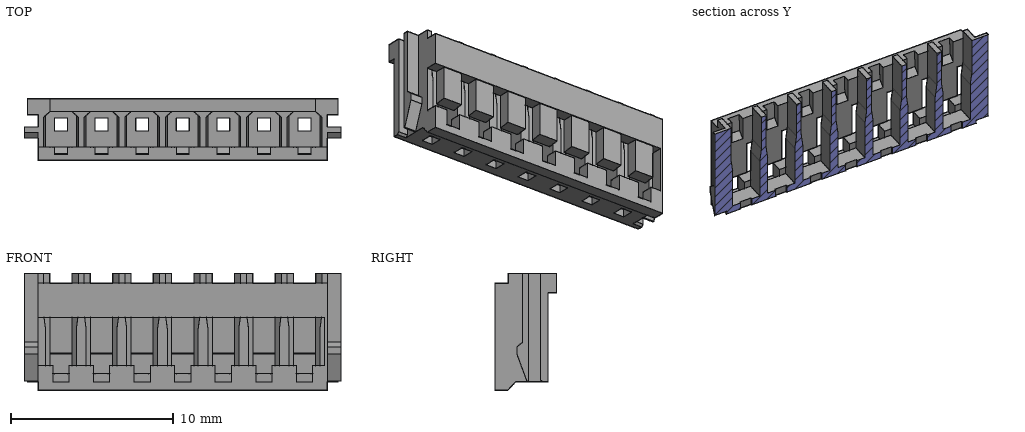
import cadquery as cq

CELL_COUNT = 7
PITCH = 2.5
CELL_CENTERS = [(i - (CELL_COUNT - 1) / 2) * PITCH for i in range(CELL_COUNT)]

OVERALL_LENGTH = 19.5
DEPTH = 3.8
HEIGHT = 7.2
BODY_LENGTH = 17.8
BODY_LEFT = -BODY_LENGTH / 2
BODY_RIGHT = BODY_LENGTH / 2

FRONT_WALL = 0.81
FRONT_WALL_TOP = 6.6
BACK_FACE = 3.28
BODY_BOTTOM = 0.53
RAIL_BOTTOM = 6.0
RAIL_TOP = 6.6
FOOT_DEPTH = 0.79
FOOT_CHAMFER_END = 1.28

POCKET_FLOOR = 1.04
POCKET_BACK = 3.0
POCKET_CHAMFER_FRONT = 2.65
POCKET_BACK_HALF = 0.68
POCKET_TOP_HALF = 1.07
POCKET_LOW_HALF = 0.95
TAPER_TOP = 4.7
TAPER_BOTTOM = 3.8
PIN_HOLE = 0.78
PIN_HOLE_Y = 2.21

WINDOW_BOTTOM = 1.53
WINDOW_TOP = 4.5
WINDOW_END_WALL = 0.16
NOTCH_WIDTH = 1.0
NOTCH_FLOOR = 0.51
LANCE_FRONT = 0.06
LANCE_FRONT_BOTTOM = 2.32
LANCE_BACK_BOTTOM = 2.23

SLOT_WIDTH = PIN_HOLE
SLOT_FRONT_TOP = 0.36
SLOT_FRONT_LOW = 0.42
SLOT_RAMP_TOP = 5.4
SLOT_RAMP_BOTTOM = SLOT_RAMP_TOP - (FRONT_WALL - SLOT_FRONT_LOW)

BLOCK_OUTER = 9.57
BLOCK_INNER = CELL_CENTERS[-1] + POCKET_BACK_HALF
BLOCK_FRONT = 2.8
BLOCK_CHAMFER = 0.14
RIB_FRONT = 1.71
RIB_BACK = 2.06
RIB_FOOT_FRONT = 1.97
RIB_BOTTOM = 0.57
BUMP_FRONT = 1.36
BUMP_SLOPE_TOP = 2.97
BUMP_TOP = 2.69
BUMP_BOTTOM = 2.23


def box(x0, x1, y0, y1, z0, z1):
    """Box between the given limits."""
    return cq.Workplane("XY").box(x1 - x0, y1 - y0, z1 - z0, centered=False).translate((x0, y0, z0))


def side_prism(points, x0, x1):
    """(Y, Z) outline extruded along X from x0 to x1."""
    return cq.Workplane("YZ").workplane(offset=x0).polyline(points).close().extrude(x1 - x0)


def make_body():
    """Solid housing with the rear rail, before any pocket is cut."""
    outline = [
        (0, 0),
        (FOOT_DEPTH, 0),
        (FOOT_CHAMFER_END, BODY_BOTTOM),
        (BACK_FACE, BODY_BOTTOM),
        (BACK_FACE, RAIL_BOTTOM),
        (DEPTH, RAIL_BOTTOM),
        (DEPTH, RAIL_TOP),
        (POCKET_BACK, RAIL_TOP),
        (POCKET_BACK, HEIGHT),
        (FRONT_WALL, HEIGHT),
        (FRONT_WALL, FRONT_WALL_TOP),
        (0, FRONT_WALL_TOP),
    ]
    return side_prism(outline, BODY_LEFT, BODY_RIGHT)


def make_end(side):
    """End block and latch rib; side is -1 for the -X end and +1 for the +X end."""
    def span(inner, outer):
        return sorted((side * inner, side * outer))

    flange_outline = [
        (BLOCK_FRONT + BLOCK_CHAMFER, BODY_BOTTOM),
        (BACK_FACE, BODY_BOTTOM),
        (BACK_FACE, HEIGHT),
        (BLOCK_FRONT, HEIGHT),
        (BLOCK_FRONT, BODY_BOTTOM + BLOCK_CHAMFER),
    ]
    rib_outline = [
        (RIB_BACK, RIB_BOTTOM),
        (RIB_BACK, HEIGHT),
        (RIB_FRONT, HEIGHT),
        (RIB_FRONT, BUMP_SLOPE_TOP),
        (BUMP_FRONT, BUMP_TOP),
        (BUMP_FRONT, BUMP_BOTTOM),
        (RIB_FOOT_FRONT, RIB_BOTTOM),
    ]
    flange = side_prism(flange_outline, *span(BODY_RIGHT, BLOCK_OUTER))
    rib = side_prism(rib_outline, *span(BODY_RIGHT, OVERALL_LENGTH / 2))
    block_x0, block_x1 = span(BLOCK_INNER, BLOCK_OUTER)
    block = box(block_x0, block_x1, POCKET_BACK, DEPTH, RAIL_BOTTOM, HEIGHT)
    return flange.union(block).union(rib)


def make_pocket():
    """Terminal pocket at X = 0: chamfered rear corners, narrower below the taper."""
    plan = [
        (-POCKET_TOP_HALF, FRONT_WALL),
        (POCKET_TOP_HALF, FRONT_WALL),
        (POCKET_TOP_HALF, POCKET_CHAMFER_FRONT),
        (POCKET_BACK_HALF, POCKET_BACK),
        (-POCKET_BACK_HALF, POCKET_BACK),
        (-POCKET_TOP_HALF, POCKET_CHAMFER_FRONT),
    ]
    right_edge = [
        (POCKET_LOW_HALF, POCKET_FLOOR),
        (POCKET_LOW_HALF, TAPER_BOTTOM),
        (POCKET_TOP_HALF, TAPER_TOP),
        (POCKET_TOP_HALF, HEIGHT),
    ]
    left_edge = [(-x, z) for x, z in reversed(right_edge)]
    shaft = cq.Workplane("XY").polyline(plan).close().extrude(HEIGHT)
    taper = cq.Workplane("XZ").polyline(right_edge + left_edge).close().extrude(-DEPTH)
    return shaft.intersect(taper)


def make_pin_hole():
    """Square hole through the pocket floor at X = 0."""
    half = PIN_HOLE / 2
    return box(-half, half, PIN_HOLE_Y - half, PIN_HOLE_Y + half, 0, POCKET_FLOOR)


def make_slot():
    """Lead-in slot at X = 0 in the rear of the front band, with a ramped floor."""
    outline = [
        (FRONT_WALL, SLOT_RAMP_BOTTOM),
        (FRONT_WALL, FRONT_WALL_TOP),
        (SLOT_FRONT_TOP, FRONT_WALL_TOP),
        (SLOT_FRONT_LOW, SLOT_RAMP_TOP),
    ]
    return side_prism(outline, -SLOT_WIDTH / 2, SLOT_WIDTH / 2)


def make_notch():
    """Notch at X = 0 in the lower front wall."""
    return box(-NOTCH_WIDTH / 2, NOTCH_WIDTH / 2, 0, FRONT_WALL, NOTCH_FLOOR, WINDOW_BOTTOM)


def make_lance():
    """Locking lance at X = 0 hanging from the front band, with a sloped underside."""
    outline = [
        (LANCE_FRONT, LANCE_FRONT_BOTTOM),
        (FRONT_WALL, LANCE_BACK_BOTTOM),
        (FRONT_WALL, WINDOW_TOP),
        (LANCE_FRONT, WINDOW_TOP),
    ]
    return side_prism(outline, -POCKET_BACK_HALF, POCKET_BACK_HALF)


def build():
    part = make_body()
    for side in (-1, 1):
        part = part.union(make_end(side))

    window_right = BODY_RIGHT - WINDOW_END_WALL
    part = part.cut(box(BODY_LEFT, window_right, 0, FRONT_WALL, WINDOW_BOTTOM, WINDOW_TOP))

    cutter = make_pocket().union(make_pin_hole()).union(make_slot()).union(make_notch())
    lance = make_lance()
    for x in CELL_CENTERS:
        part = part.cut(cutter.translate((x, 0, 0)))
        part = part.union(lance.translate((x, 0, 0)))
    return part


result = build()